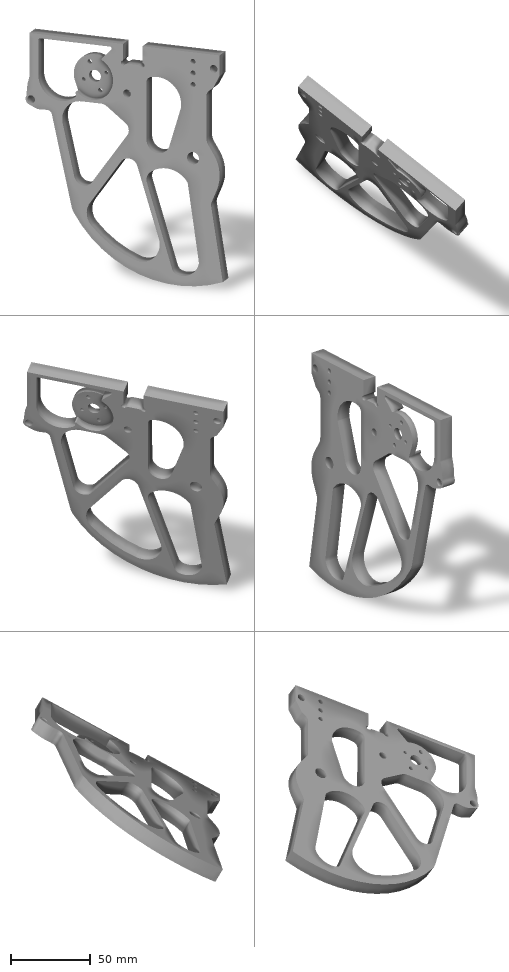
import cadquery as cq
import math


thickness = 9.53
top_z = 24.88

seat_radius = 14.25
seat_depth = 5.1
bore_diameter = 7.94
mount_angle = 21.5
wide_mount_radius = 9.65
wide_mount_diameter = 3.0
narrow_mount_radius = 8.2
narrow_mount_diameter = 2.5

pin_diameter = 3.3
pin_spacing = 7.62
pin_x = 68.15
middle_pin_z = 11.2
bolt_diameter = 5.1
pivot_diameter = 7.94
pivot_centre = (pin_x, -44.65)
lug_centre = (-40.95, -18.6)
bolt_centres = [lug_centre, (23.65, -7.35), (82.1, 15.6)]

front_x = -42.1
rear_x = 86.1
rear_waist_x = 77.2
waist_radius = 8.0
thumb_radius = 4.7
rear_step_z = 11.4
lug_radius = 3.8
neck_radius = 4.4
neck_angle = 156.0
brow_radius = 35.0
shoulder_radius = 3.0
heel_centre = (58.2, -47.1)
heel_radius = 82.28
heel_tip_angle = -68.58
toe_radius = 12.0
toe_angle = 211.1

notch_left_x = 21.0
notch_right_x = 34.05
notch_floor_z = 12.3
relief_radius = 1.5
relief_inset = 0.1
relief_wall_edge_radius = 1.0
relief_floor_edge_radius = 3.5

small_corner_radius = 1.27
grip_corner_radius = 1.5
grip_base_corner_radius = 5.0

seat_tip_radius = 0.8
bowl_radius = 15.0
bowl_z = -2.3
bowl_corner_angle = -48.6
ramp_angle = -45.0
window_left_x = -36.05
window_top_z = 22.12
window_tip_x = 11.95


def circle(x, z, radius):
    """One stretch of an outline; a negative radius bends the outline inward, zero is a sharp corner."""
    return (x, z, radius)


def corner(x, z):
    return circle(x, z, 0)


def touching(base, radius, angle):
    """Circle that meets the base circle tangentially at the given angle around the base centre."""
    base_x, base_z, base_radius = base
    reach = abs(base_radius) - math.copysign(radius, base_radius * radius)
    direction = math.radians(angle)
    return circle(base_x + reach * math.cos(direction), base_z + reach * math.sin(direction), radius)


def tangent_direction(first, second):
    """Outward normal angle of the tangent line running from one circle to the next."""
    dx = second[0] - first[0]
    dz = second[1] - first[1]
    ratio = (first[2] - second[2]) / math.hypot(dx, dz)
    return math.atan2(dz, dx) - math.acos(max(-1.0, min(1.0, ratio)))


def rim_point(item, angle):
    x, z, radius = item
    return (x + radius * math.cos(angle), z + radius * math.sin(angle))


def tangent_loop(circles):
    """Closed counterclockwise outline that wraps the circles in order with tangent lines."""
    count = len(circles)
    leaving = [tangent_direction(circles[i], circles[(i + 1) % count]) for i in range(count)]
    start = rim_point(circles[-1], leaving[-1])
    path = cq.Workplane("XZ").moveTo(*start)
    here = start
    for i, item in enumerate(circles):
        arriving = leaving[i - 1]
        entry = rim_point(item, arriving)
        if math.dist(here, entry) > 1e-4:
            path = path.lineTo(*entry)
            here = entry
        radius = item[2]
        if radius:
            turn = (leaving[i] - arriving) % (2 * math.pi)
            if radius < 0:
                turn -= 2 * math.pi
            middle = rim_point(item, arriving + turn / 2)
            here = start if i == count - 1 else rim_point(item, leaving[i])
            path = path.threePointArc(middle, here)
    return path.close()


def solid_from(circles, depth=thickness):
    return tangent_loop(circles).extrude(-depth)


def notch_relief(wall_x, side):
    """Rounded relief at one bottom corner of the notch, listed from the wall to the floor."""
    centre_x = wall_x - side * relief_inset
    centre_z = notch_floor_z + relief_inset
    wall_edge_x = wall_x + side * relief_wall_edge_radius
    wall_reach = relief_radius + relief_wall_edge_radius
    wall_edge_z = centre_z + math.sqrt(wall_reach**2 - (wall_edge_x - centre_x) ** 2)
    floor_edge_z = notch_floor_z - relief_floor_edge_radius
    floor_reach = relief_radius + relief_floor_edge_radius
    floor_edge_x = centre_x - side * math.sqrt(floor_reach**2 - (floor_edge_z - centre_z) ** 2)
    return [
        circle(wall_edge_x, wall_edge_z, relief_wall_edge_radius),
        circle(centre_x, centre_z, -relief_radius),
        circle(floor_edge_x, floor_edge_z, relief_floor_edge_radius),
    ]


def plate():
    lug = circle(*lug_centre, lug_radius)
    neck = touching(lug, -neck_radius, neck_angle)
    brow = touching(neck, brow_radius, 0)
    shoulder_cosine = (front_x - shoulder_radius - brow[0]) / (brow_radius + shoulder_radius)
    shoulder_angle = math.degrees(math.acos(shoulder_cosine))
    heel = circle(*heel_centre, heel_radius)
    front_edge = [
        corner(front_x, top_z),
        touching(brow, -shoulder_radius, shoulder_angle),
        brow,
        neck,
        lug,
        circle(-34.6, -14.7, 9.9),
        circle(-30.2, -27.5, -3.25),
    ]
    bottom_edge = [
        touching(heel, toe_radius, toe_angle),
        heel,
        touching(heel, 0, heel_tip_angle),
    ]
    rear_edge = [
        circle(86.0, -74.1, -5.65),
        circle(61.1, -54.2, 25.0),
        circle(rear_waist_x + waist_radius, -30.5, -waist_radius),
        circle(rear_waist_x + thumb_radius, -2.85, -thumb_radius),
        circle(80.3, 4.0, 1.7),
        corner(rear_x, rear_step_z),
        corner(rear_x, top_z),
    ]
    notch = [
        corner(notch_right_x, top_z),
        *notch_relief(notch_right_x, 1),
        *reversed(notch_relief(notch_left_x, -1)),
        corner(notch_left_x, top_z),
    ]
    return solid_from(front_edge + bottom_edge + rear_edge + notch)


bowl = circle(window_left_x + bowl_radius, bowl_z, bowl_radius)
bowl_corner = touching(bowl, small_corner_radius, bowl_corner_angle)
ramp_top = circle(window_tip_x, window_top_z - small_corner_radius, small_corner_radius)
window_upper_left = circle(window_left_x + small_corner_radius, ramp_top[1], small_corner_radius)


def seat_contact(line_distance, radius):
    """Angle from a line's outward normal to where a circle tangent to that line touches the seat."""
    return math.degrees(math.acos((line_distance - radius) / (seat_radius + abs(radius))))


def ramp_contact(radius):
    """Angle around the seat of the circle that joins the seat to the ramp."""
    direction = math.radians(ramp_angle)
    distance = ramp_top[0] * math.cos(direction) + ramp_top[1] * math.sin(direction) + ramp_top[2]
    return ramp_angle + seat_contact(distance, radius)


def motor_window():
    """Full-depth opening that leaves the round seat standing, with filleted joints to the plate."""
    seat = circle(0, 0, -seat_radius)
    return solid_from([
        bowl,
        bowl_corner,
        seat,
        touching(seat, small_corner_radius, ramp_contact(small_corner_radius)),
        ramp_top,
        window_upper_left,
    ])


def motor_recess():
    """Front-face recess: window and seat as one opening, with the plate tips between them rounded."""
    seat = circle(0, 0, seat_radius)
    wall_normal = math.degrees(tangent_direction(bowl_corner, circle(0, 0, -seat_radius)))
    lower_tip_angle = wall_normal - seat_contact(-seat_radius, -seat_tip_radius)
    return solid_from([
        bowl,
        bowl_corner,
        touching(seat, -seat_tip_radius, lower_tip_angle),
        seat,
        touching(seat, -seat_tip_radius, ramp_contact(-seat_tip_radius)),
        ramp_top,
        window_upper_left,
    ], seat_depth)


def tall_window():
    crown = circle(43.95, -10.3, 16.2)
    return solid_from([
        crown,
        touching(crown, 3.7, 106),
        circle(44.7, -36.2, 7.85),
        touching(crown, small_corner_radius, -7.9),
    ])


def front_window():
    return solid_from([
        circle(-6.9, -29.1, 13.1),
        circle(-5.45, -64.45, 6.6),
        circle(19.1, -31.4, 5.75),
        circle(6.3, -22.0, 6.0),
    ])


def lower_window():
    sweep = circle(52.3, -48.2, 71.6)
    return solid_from([
        circle(24.7, -56.0, 6.2),
        touching(sweep, 11.7, 222.6),
        sweep,
        touching(sweep, 12.65, 250.9),
    ])


def grip_window():
    crown = circle(50.15, -70.7, 17.3)
    base = circle(60.65, -111.05, 11.67)
    return solid_from([
        crown,
        touching(crown, 6.4, 129.7),
        touching(base, grip_base_corner_radius, 254.3),
        base,
        touching(base, grip_base_corner_radius, -15.7),
        touching(crown, grip_corner_radius, 35),
    ])


def holes(centres, diameter):
    return cq.Workplane("XZ").pushPoints(centres).circle(diameter / 2).extrude(-thickness)


def opposite_pair(radius, angle):
    x = radius * math.cos(math.radians(angle))
    z = radius * math.sin(math.radians(angle))
    return [(x, z), (-x, -z)]


result = plate()
for window in (motor_window, tall_window, front_window, lower_window, grip_window):
    result = result.cut(window())

result = result.cut(motor_recess())

result = result.cut(holes([(0, 0)], bore_diameter))
result = result.cut(holes(opposite_pair(narrow_mount_radius, mount_angle), narrow_mount_diameter))
result = result.cut(holes(opposite_pair(wide_mount_radius, mount_angle + 90), wide_mount_diameter))
result = result.cut(holes([(pin_x, middle_pin_z + i * pin_spacing) for i in (-1, 0, 1)], pin_diameter))
result = result.cut(holes(bolt_centres, bolt_diameter))
result = result.cut(holes([pivot_centre], pivot_diameter))